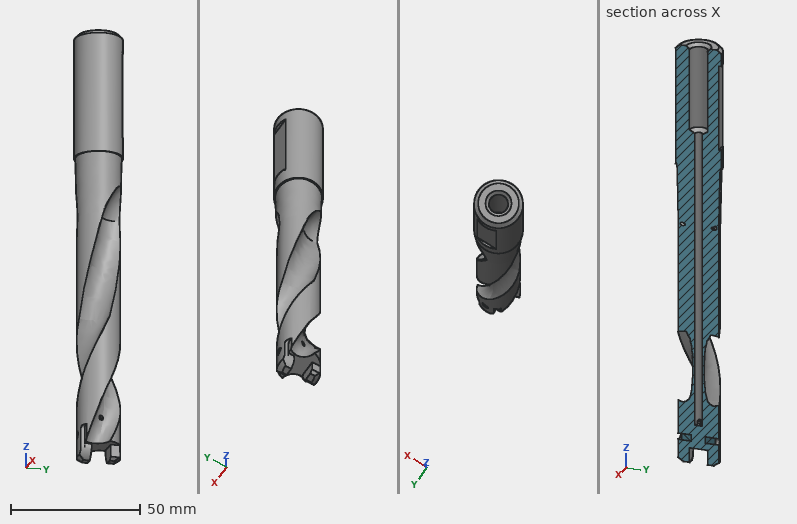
import cadquery as cq
import math


overall_length = 174.65
shank_length = 50.15
neck_length = 25.0
shank_bottom_z = overall_length - shank_length
neck_bottom_z = shank_bottom_z - neck_length

shank_diameter = 19.05
shank_radius = shank_diameter / 2
shank_chamfer = 1.65
neck_top_radius = 9.05
body_radius = 8.5

flat_depth = 1.05
flat_length = 35.0
flat_setback = 6.8
flat_top_z = overall_length - flat_setback

socket_radius = 3.7
socket_mouth_radius = 5.05
socket_depth = 35.0
socket_point_angle = 118.0
coolant_radius = 1.5
outlet_radius = 0.9
outlet_z = 17.0

core_radius = 2.4
tip_core_radius = 4.2
flute_half_angle = 46.5
flute_tip_half_angle = 34.0
flute_narrowing_z = 27.0
flute_tip_steps = 6
flute_runout_z = 112.9
runout_angle = 238.0
runout_circle_radius = 7.0
runout_clearance = 0.1
runout_power = 1.3
runout_steps = 4
waist_z = 39.8
waist_angle = 90.0
twist_change_z = 57.5
tip_twist_rate = 3.24
shank_twist_rate = 1.78
flute_angles = (0, 180)

slot_width = 7.4
slot_depth = 6.1
jaw_root_x = 4.2
jaw_end_x = 4.0
jaw_edge_chamfer = 1.3
jaw_relief_x = 2.85
jaw_relief_curve_z = 5.2
jaw_relief_curve_x = 0.6
jaw_relief_bulge = 0.5
jaw_rim_height = 1.5
jaw_rim_width = 2.2

gash_top_z = 13.2
gash_floor_y = -6.5
gash_corner_radius = 1.2

screw_radius = 1.45
screw_offset_x = 0.8
screw_z = 10.4
screw_length = 4.0
screw_recess = 1.5

clear = 3 * shank_radius


def body_blank():
    """Shank, tapered neck and fluted length as one turned piece."""
    outline = [
        (0, 0),
        (-(body_radius - jaw_rim_width), 0),
        (-body_radius, jaw_rim_height),
        (-body_radius, neck_bottom_z),
        (-neck_top_radius, shank_bottom_z),
        (-shank_radius, shank_bottom_z),
        (-shank_radius, overall_length - shank_chamfer),
        (-(shank_radius - shank_chamfer), overall_length),
        (0, overall_length),
    ]
    return cq.Workplane("XZ").polyline(outline).close().revolve(360, (0, 0), (0, 1))


def shank_flat():
    return (
        cq.Workplane("XY")
        .box(clear, clear, flat_length, centered=(True, False, False))
        .translate((0, shank_radius - flat_depth, flat_top_z - flat_length))
    )


def coolant_bore():
    """Socket in the shank end with a drilled point, leading to the axial coolant bore."""
    mouth_depth = socket_mouth_radius - socket_radius
    socket_end_z = overall_length - socket_depth
    point_height = (socket_radius - coolant_radius) / math.tan(math.radians(socket_point_angle / 2))
    outline = [
        (0, outlet_z - outlet_radius),
        (-coolant_radius, outlet_z - outlet_radius),
        (-coolant_radius, socket_end_z - point_height),
        (-socket_radius, socket_end_z),
        (-socket_radius, overall_length - mouth_depth),
        (-socket_mouth_radius, overall_length),
        (0, overall_length),
    ]
    return cq.Workplane("XZ").polyline(outline).close().revolve(360, (0, 0), (0, 1))


def coolant_outlets():
    return (
        cq.Workplane("YZ")
        .center(0, outlet_z)
        .circle(outlet_radius)
        .extrude(clear, both=True)
    )


def flute_angle(z):
    """Direction of the flute centre at height z; the flute twists faster toward the tip."""
    slow_height = max(z - twist_change_z, 0)
    fast_height = min(z, twist_change_z) - waist_z
    return waist_angle + tip_twist_rate * fast_height + shank_twist_rate * slow_height


def flute_circle(z, angle, radius, inner_reach):
    """Circular section whose innermost point lies inner_reach from the axis, toward angle."""
    direction = cq.Vector(math.cos(math.radians(angle)), math.sin(math.radians(angle)), 0)
    center = direction * (inner_reach + radius) + cq.Vector(0, 0, z)
    plane = cq.Plane(origin=center, xDir=direction * -1, normal=(0, 0, 1))
    return cq.Workplane(plane).circle(radius).val()


def circle_radius(half_angle, core):
    """Radius of the circle that touches a core of the given radius and meets the body at +-half_angle."""
    half_chord = body_radius * math.sin(math.radians(half_angle))
    depth = body_radius * math.cos(math.radians(half_angle)) - core
    return (half_chord**2 + depth**2) / (2 * depth)


def flute_section(z):
    """Flute circle at height z; below the narrowing the flute gets slimmer and its core thicker."""
    narrowing = max(flute_narrowing_z - z, 0) / (flute_narrowing_z - slot_depth)
    half_angle = flute_half_angle + narrowing * (flute_tip_half_angle - flute_half_angle)
    core = core_radius + narrowing * (tip_core_radius - core_radius)
    return flute_circle(z, flute_angle(z), circle_radius(half_angle, core), core)


def flute_tip():
    """Flute narrowing as it twists down to the tip."""
    heights = [flute_narrowing_z * i / flute_tip_steps for i in range(flute_tip_steps + 1)]
    return cq.Solid.makeLoft([flute_section(z) for z in heights])


def flute_helix(start_z, end_z):
    """Stretch of flute with a constant section and twist rate."""
    twist = flute_angle(end_z) - flute_angle(start_z)
    return cq.Solid.extrudeLinearWithRotation(
        flute_section(start_z), [], cq.Vector(0, 0, start_z), cq.Vector(0, 0, end_z - start_z), twist
    )


def flute_runout():
    """Curved exit of the flute, rising ever more steeply out of the neck."""
    start_angle = flute_angle(neck_bottom_z)
    start_radius = circle_radius(flute_half_angle, core_radius)
    rise = neck_top_radius + runout_clearance - core_radius
    sections = []
    for i in range(runout_steps + 1):
        t = i / runout_steps
        z = neck_bottom_z + t * (flute_runout_z - neck_bottom_z)
        angle = start_angle + t * (runout_angle - start_angle)
        radius = start_radius + t * (runout_circle_radius - start_radius)
        sections.append(flute_circle(z, angle, radius, core_radius + rise * t**runout_power))
    return cq.Solid.makeLoft(sections)


def flute_tools():
    return (
        flute_tip(),
        flute_helix(flute_narrowing_z, twist_change_z),
        flute_helix(twist_change_z, neck_bottom_z),
        flute_runout(),
    )


def jaw():
    """The -Y jaw: straight on -X, relieved by a curve on +X."""
    curve_mid_x = (jaw_relief_x + jaw_relief_curve_x) / 2 + jaw_relief_bulge
    curve_mid_z = jaw_relief_curve_z / 2 - jaw_relief_bulge
    return (
        cq.Workplane("XZ", origin=(0, -slot_width / 2, 0))
        .moveTo(-jaw_root_x, slot_depth)
        .lineTo(-jaw_end_x, jaw_edge_chamfer)
        .lineTo(-(jaw_end_x - jaw_edge_chamfer), 0)
        .lineTo(jaw_relief_curve_x, 0)
        .threePointArc((curve_mid_x, curve_mid_z), (jaw_relief_x, jaw_relief_curve_z))
        .lineTo(jaw_relief_x, slot_depth)
        .close()
        .extrude(clear)
    )


def jaw_surroundings():
    """Everything below the slot floor except the two jaws."""
    space = cq.Workplane("XY").box(clear, clear, slot_depth, centered=(True, True, False))
    for angle in flute_angles:
        space = space.cut(jaw().rotate((0, 0, 0), (0, 0, 1), angle))
    return space


def chip_gash():
    """Clearance on the +X side of the -Y jaw, with a rounded upper corner."""
    return (
        cq.Workplane("XY")
        .box(clear, clear, gash_top_z, centered=False)
        .edges("<X and >Z")
        .fillet(gash_corner_radius)
        .translate((jaw_relief_x, gash_floor_y - clear, 0))
    )


def screw_cylinder(depth_start, depth_end):
    """Cylinder along Y in the -Y side of the body, between two depths below its surface."""
    return (
        cq.Workplane("XZ", origin=(-screw_offset_x, depth_start - body_radius, screw_z))
        .circle(screw_radius)
        .extrude(depth_start - depth_end)
    )


def drill_body():
    body = body_blank().cut(shank_flat()).cut(coolant_bore())
    for angle in flute_angles:
        for tool in flute_tools():
            body = body.cut(cq.Workplane(tool.rotate((0, 0, 0), (0, 0, 1), angle)))
    body = body.cut(coolant_outlets()).cut(jaw_surroundings())
    for angle in flute_angles:
        body = body.cut(chip_gash().rotate((0, 0, 0), (0, 0, 1), angle))
        screw_hole = screw_cylinder(-body_radius, screw_recess + screw_length)
        body = body.cut(screw_hole.rotate((0, 0, 0), (0, 0, 1), angle))
    return body


def set_screw(angle):
    screw = screw_cylinder(screw_recess, screw_recess + screw_length)
    return screw.rotate((0, 0, 0), (0, 0, 1), angle)


holder = drill_body()
set_screws = [set_screw(angle) for angle in flute_angles]

result = cq.Compound.makeCompound([holder.val(), *[screw.val() for screw in set_screws]])